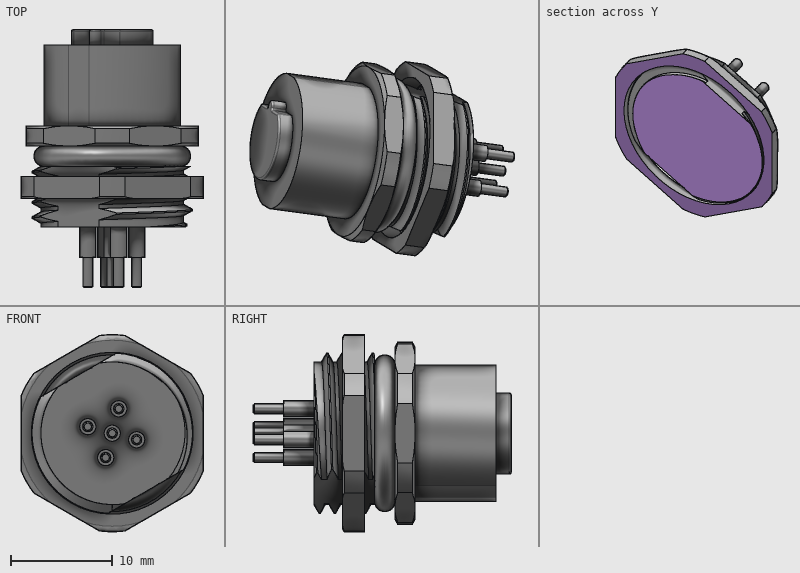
import cadquery as cq
import math


thread_length = 6.0
ring_length = 2.0
flange_thickness = 2.0
barrel_length = 8.0
insert_length = 1.5
ring_start = thread_length
flange_start = ring_start + ring_length
barrel_start = flange_start + flange_thickness
barrel_end = barrel_start + barrel_length

thread_pitch = 1.5
thread_root_radius = 7.05
thread_crest_radius = 7.92
thread_height = thread_crest_radius - thread_root_radius
thread_base_width = 1.12
thread_crest_width = 0.14
full_thread_start = 0.56
full_thread_angle = -90.0
run_in_sweep = 150.0
thread_embed = 0.2
thread_trim_radius = thread_crest_radius + 1.0

barrel_radius = 6.75
bead_radius = ring_length / 2

flat_distance = 6.65
flat_direction = 120.0

flange_across_flats = 17.0
flange_corner_diameter = 18.0
flange_chamfer_radial = 0.5
flange_chamfer_axial = 0.28

nut_across_flats = 18.0
nut_corner_diameter = 19.5
nut_bore_diameter = 16.0
nut_thickness = 2.2
nut_start = 2.8
nut_crown_radial = 0.55
nut_crown_axial = 0.2

insert_radius = 4.05
insert_flat_distance = 3.08
key_radius = 0.61
key_root_fillet = 0.24
insert_edge_fillet = 0.2
insert_corner_fillet = 0.1

pin_circle_radius = 2.5
pin_first_angle = 75.0
pin_count_on_circle = 4
pin_collar_diameter = 1.6
pin_collar_length = 3.0
pin_tip_diameter = 1.0
pin_length = 6.0
pin_tip_chamfer = 0.14


def section_plane(y):
    """Workplane across the axis at y, with X to the right and Z up."""
    return cq.Workplane("XZ", origin=(0, y, 0))


def disc(radius, start, length):
    """Cylinder on the axis that runs from start towards +Y."""
    return section_plane(start).circle(radius).extrude(-length)


def hexagon(across_flats, start, length):
    """Hexagonal prism with two flats facing +X and -X."""
    corner_circle = across_flats / math.cos(math.pi / 6)
    prism = section_plane(start).polygon(6, corner_circle).extrude(-length)
    half_sector = 180 / 6
    return prism.rotate((0, 0, 0), (0, 1, 0), half_sector)


def flat_cutters(start, length):
    """Two blocks that leave opposite flats at flat_distance from the axis."""
    block_size = 2 * thread_crest_radius
    cutters = (
        section_plane(start)
        .pushPoints([(side * (flat_distance + block_size / 2), 0) for side in (-1, 1)])
        .rect(block_size, block_size)
        .extrude(-length)
    )
    return cutters.rotate((0, 0, 0), (0, 1, 0), -flat_direction)


def thread_ridge(spine, root_radius, start_angle, start):
    """Ridge swept on a helix about Z, laid along Y and started at an angle from +X towards +Z."""
    flank_slope = (thread_base_width - thread_crest_width) / 2 / thread_height
    half_crest = thread_crest_width / 2
    half_foot = thread_base_width / 2 + flank_slope * thread_embed
    ridge = (
        cq.Workplane("XZ")
        .polyline([
            (root_radius - thread_embed, -half_foot),
            (root_radius + thread_height, -half_crest),
            (root_radius + thread_height, half_crest),
            (root_radius - thread_embed, half_foot),
        ])
        .close()
        .sweep(cq.Workplane(spine), isFrenet=True)
    )
    laid_down = ridge.rotate((0, 0, 0), (1, 0, 0), -90).translate((0, start, 0))
    return laid_down.rotate((0, 0, 0), (0, 1, 0), -start_angle)


def full_thread():
    """Right-hand ridge of full height; its far end runs into the sealing ring and is trimmed."""
    run_length = thread_length + thread_pitch - full_thread_start
    spine = cq.Wire.makeHelix(thread_pitch, run_length, thread_root_radius)
    ridge = thread_ridge(spine, thread_root_radius, full_thread_angle, full_thread_start)
    return ridge.intersect(disc(thread_trim_radius, 0, thread_length))


def thread_run_in():
    """Same ridge on a conical helix, so that it rises out of the core up to full height."""
    axial_rise = thread_pitch * run_in_sweep / 360
    cone_angle = math.atan2(thread_height, axial_rise)
    slope_pitch = thread_pitch / math.cos(cone_angle)
    slope_rise = axial_rise / math.cos(cone_angle)
    start_radius = thread_root_radius - thread_height
    spine = cq.Wire.makeHelix(slope_pitch, slope_rise, start_radius, angle=math.degrees(cone_angle))
    ridge = thread_ridge(
        spine, start_radius, full_thread_angle + run_in_sweep, full_thread_start - axial_rise
    )
    return ridge.intersect(disc(thread_trim_radius, 0, thread_length))


def threaded_stem():
    core = disc(thread_root_radius, 0, thread_length)
    stem = core.union(thread_run_in()).union(full_thread())
    return stem.cut(flat_cutters(0, thread_length))


def sealing_bead():
    """Ring groove core with the half-round bead of the sealing ring around it."""
    return (
        cq.Workplane("XY")
        .moveTo(0, ring_start)
        .lineTo(barrel_radius, ring_start)
        .threePointArc(
            (barrel_radius + bead_radius, ring_start + bead_radius),
            (barrel_radius, flange_start),
        )
        .lineTo(0, flange_start)
        .close()
        .revolve(360, (0, 0, 0), (0, 1, 0))
    )


def flange():
    """Hexagon with its corners turned down and both rims coned."""
    corner_radius = flange_corner_diameter / 2
    rim_radius = corner_radius - flange_chamfer_radial
    blank = (
        cq.Workplane("XY")
        .moveTo(0, flange_start)
        .lineTo(rim_radius, flange_start)
        .lineTo(corner_radius, flange_start + flange_chamfer_axial)
        .lineTo(corner_radius, barrel_start - flange_chamfer_axial)
        .lineTo(rim_radius, barrel_start)
        .lineTo(0, barrel_start)
        .close()
        .revolve(360, (0, 0, 0), (0, 1, 0))
    )
    return blank.intersect(hexagon(flange_across_flats, flange_start, flange_thickness))


def barrel():
    return disc(barrel_radius, barrel_start, barrel_length).cut(flat_cutters(barrel_start, barrel_length))


def contact_insert():
    """Round insert with a flat facing +X, turned to the direction of the barrel flat."""
    half_flat = math.sqrt(insert_radius ** 2 - insert_flat_distance ** 2)
    key_centre = insert_flat_distance + key_root_fillet
    key_foot = key_radius + key_root_fillet
    fillet_sag = key_root_fillet * (1 - math.sqrt(0.5))
    insert = (
        section_plane(barrel_end)
        .moveTo(insert_flat_distance, -half_flat)
        .lineTo(insert_flat_distance, -key_foot)
        .threePointArc(
            (insert_flat_distance + fillet_sag, -key_radius - fillet_sag),
            (key_centre, -key_radius),
        )
        .threePointArc((key_centre + key_radius, 0), (key_centre, key_radius))
        .threePointArc(
            (insert_flat_distance + fillet_sag, key_radius + fillet_sag),
            (insert_flat_distance, key_foot),
        )
        .lineTo(insert_flat_distance, half_flat)
        .threePointArc((-insert_radius, 0), (insert_flat_distance, -half_flat))
        .close()
        .extrude(-insert_length)
        .edges("|Y")
        .edges(">Z or <Z")
        .fillet(insert_corner_fillet)
        .faces(">Y")
        .edges()
        .fillet(insert_edge_fillet)
    )
    return insert.rotate((0, 0, 0), (0, 1, 0), -flat_direction)


def solder_pin(x, z):
    collar = section_plane(0).center(x, z).circle(pin_collar_diameter / 2).extrude(pin_collar_length)
    tip = (
        section_plane(0)
        .center(x, z)
        .circle(pin_tip_diameter / 2)
        .extrude(pin_length)
        .faces("<Y")
        .chamfer(pin_tip_chamfer)
    )
    return collar.union(tip)


def pin_positions():
    """One pin on the axis and the others evenly around a circle."""
    positions = [(0, 0)]
    for index in range(pin_count_on_circle):
        angle = math.radians(pin_first_angle + index * 360 / pin_count_on_circle)
        positions.append((pin_circle_radius * math.cos(angle), pin_circle_radius * math.sin(angle)))
    return positions


def make_housing():
    housing = threaded_stem().union(sealing_bead()).union(flange()).union(barrel()).union(contact_insert())
    for x, z in pin_positions():
        housing = housing.union(solder_pin(x, z))
    return housing


def make_nut():
    """Loose hexagon nut, its corners turned down and its rear rim crowned."""
    corner_radius = nut_corner_diameter / 2
    rim_radius = corner_radius - nut_crown_radial
    nut_end = nut_start + nut_thickness

    crown_radius = (nut_crown_radial ** 2 + nut_crown_axial ** 2) / (2 * nut_crown_axial)
    half_angle = math.asin(nut_crown_radial / crown_radius) / 2
    crown_middle = (
        rim_radius + crown_radius * math.sin(half_angle),
        nut_start + crown_radius * (1 - math.cos(half_angle)),
    )
    blank = (
        cq.Workplane("XY")
        .moveTo(0, nut_start)
        .lineTo(rim_radius, nut_start)
        .threePointArc(crown_middle, (corner_radius, nut_start + nut_crown_axial))
        .lineTo(corner_radius, nut_end)
        .lineTo(0, nut_end)
        .close()
        .revolve(360, (0, 0, 0), (0, 1, 0))
    )
    bore = disc(nut_bore_diameter / 2, nut_start, nut_thickness)
    return blank.intersect(hexagon(nut_across_flats, nut_start, nut_thickness)).cut(bore)


housing = make_housing()
nut = make_nut()

result = cq.Compound.makeCompound([housing.solids().val(), nut.solids().val()])